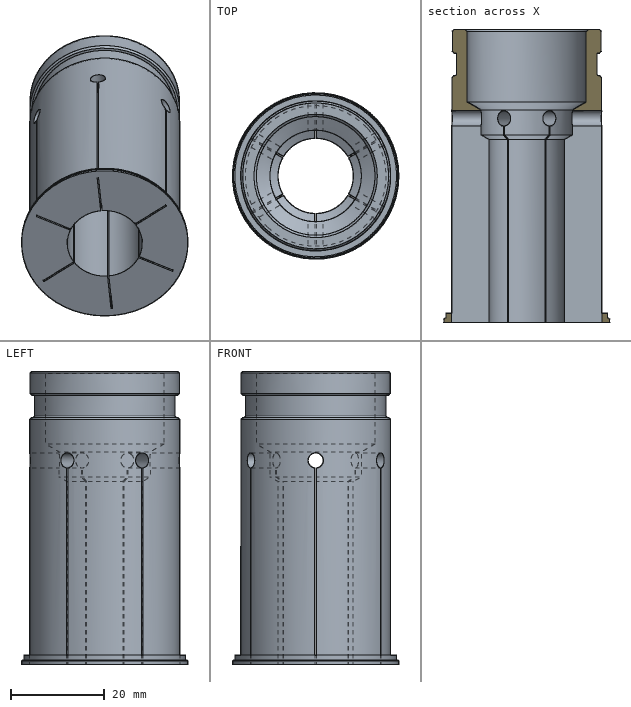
import cadquery as cq
import math

total_height = 62.5

head_dia = 31.9
body_dia = 32.0
groove_dia = 30.0
flange_step_dia = 34.5
flange_dia = 35.5

flange_lip_height = 1.0
flange_height = 2.0
body_top = 52.65
groove_top = 57.4

head_chamfer = 0.4
shoulder_chamfer = 0.4
groove_fillet = 0.4
lip_chamfer = 0.25

socket_dia = 25.3
socket_floor = 47.0
socket_chamfer = 0.5
relief_dia = 19.5
bore_dia = 16.0
cone_half_angle = 60.0
bore_cone_top = 40.0

slot_count = 6
slot_width = 0.3
first_slot_angle = 30.0
slot_pitch = 360.0 / slot_count
relief_hole_dia = 3.2
relief_hole_height = 43.5


def cone_depth(large_dia, small_dia):
    """Axial length of a cone between two diameters."""
    return (large_dia - small_dia) / 2 / math.tan(math.radians(cone_half_angle))


def make_sleeve():
    """Revolve the complete wall section about Z."""
    head_r = head_dia / 2
    body_r = body_dia / 2
    groove_r = groove_dia / 2
    step_r = flange_step_dia / 2
    flange_r = flange_dia / 2
    socket_r = socket_dia / 2
    relief_r = relief_dia / 2
    bore_r = bore_dia / 2
    socket_cone_bottom = socket_floor - cone_depth(socket_dia, relief_dia)
    bore_cone_bottom = bore_cone_top - cone_depth(relief_dia, bore_dia)
    fillet_mid = groove_fillet * (1 - math.sqrt(0.5))
    outside_below_groove = [
        (bore_r, 0),
        (flange_r, 0),
        (flange_r, flange_lip_height - lip_chamfer),
        (flange_r - lip_chamfer, flange_lip_height),
        (step_r, flange_lip_height),
        (step_r, flange_height),
        (body_r, flange_height),
        (body_r, body_top - shoulder_chamfer),
        (body_r - shoulder_chamfer, body_top),
        (groove_r + groove_fillet, body_top),
    ]
    outside_above_groove = [
        (groove_r, groove_top),
        (head_r - head_chamfer, groove_top),
        (head_r, groove_top + head_chamfer),
        (head_r, total_height - head_chamfer),
        (head_r - head_chamfer, total_height),
    ]
    bore = [
        (socket_r + socket_chamfer, total_height),
        (socket_r, total_height - socket_chamfer),
        (socket_r, socket_floor),
        (relief_r, socket_cone_bottom),
        (relief_r, bore_cone_top),
        (bore_r, bore_cone_bottom),
    ]
    return (
        cq.Workplane("XZ")
        .polyline(outside_below_groove)
        .threePointArc((groove_r + fillet_mid, body_top + fillet_mid), (groove_r, body_top + groove_fillet))
        .polyline(outside_above_groove + bore, includeCurrent=True)
        .close()
        .revolve(360, (0, 0), (0, 1))
    )


def make_slot(angle):
    """Cutter for one relief hole and the slot running down from it, inside the flange ring."""
    reach = body_dia / 2
    slot = cq.Workplane("XY").box(reach, slot_width, relief_hole_height, centered=(False, True, False))
    hole = (
        cq.Workplane("YZ")
        .center(0, relief_hole_height)
        .circle(relief_hole_dia / 2)
        .extrude(reach)
    )
    return slot.union(hole).rotate((0, 0, 0), (0, 0, 1), angle)


result = make_sleeve()
for index in range(slot_count):
    result = result.cut(make_slot(first_slot_angle + index * slot_pitch))